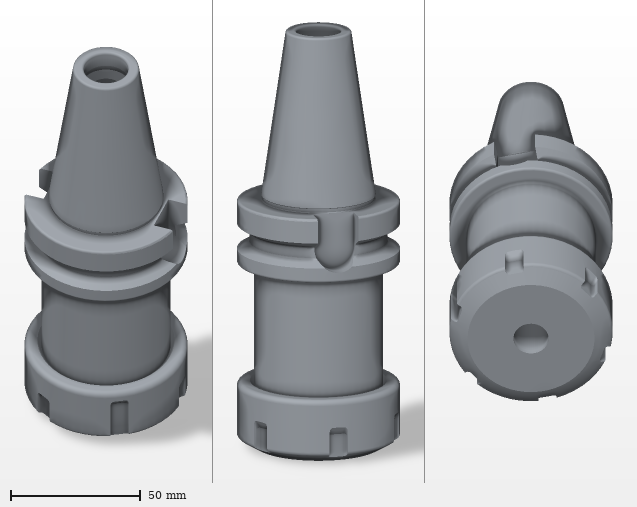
import cadquery as cq

total_length = 165.4

gauge_height = 100.0
gauge_radius = 22.2
taper_ratio = 7 / 24
tip_radius = gauge_radius - taper_ratio * (total_length - gauge_height) / 2
tip_fillet = 1.0

relief_depth = 0.3
neck_radius = gauge_radius - relief_depth

flange_radius = 31.51
flange_top = 98.0
flange_bottom = 72.8
flange_edge = 1.0
groove_radius = 26.6
groove_top = 88.5
groove_floor_top = 85.7
groove_floor_bottom = 81.0
groove_bottom = 78.5
groove_fillet = 0.7
root_fillet = 1.0

body_radius = 25.0
body_bottom = 16.5

keyway_width = 16.2
keyway_floor = 22.7
keyway_bottom = 76.5

nut_radius = flange_radius
nut_top = 25.8
nut_fillet = 2.2
recess_radius = 26.5
nose_radius = 24.5
nose_rim_radius = 30.5
nose_height = 3.5
nose_round = 1.7

slot_count = 6
slot_width = 7.3
slot_floor = 28.8
slot_top = 14.9
tall_slot_top = 21.8
tall_slot_index = 5
slot_runout = 3.3
slot_corner = 1.2

bore_radius = 6.8
pilot_radius = 8.6
pilot_depth = 6.6
pilot_mouth_round = 1.0
flare_radius = 9.3
flare_length = 2.5


def make_holder():
    """Shank, flange and body turned as one piece, with rounded groove corners and tip."""
    flange_rim = flange_radius - flange_edge
    outline = (
        cq.Workplane("XZ")
        .moveTo(0, body_bottom)
        .lineTo(body_radius, body_bottom)
        .lineTo(body_radius, flange_bottom - root_fillet)
        .radiusArc((body_radius + root_fillet, flange_bottom), root_fillet)
        .lineTo(flange_rim, flange_bottom)
        .radiusArc((flange_radius, flange_bottom + flange_edge), -flange_edge)
        .lineTo(flange_radius, groove_bottom)
        .lineTo(groove_radius, groove_floor_bottom)
        .lineTo(groove_radius, groove_floor_top)
        .lineTo(flange_radius, groove_top)
        .lineTo(flange_radius, flange_top - flange_edge)
        .radiusArc((flange_rim, flange_top), -flange_edge)
        .lineTo(gauge_radius, flange_top)
        .lineTo(neck_radius, flange_top + relief_depth)
        .lineTo(neck_radius, gauge_height - relief_depth)
        .lineTo(gauge_radius, gauge_height)
        .lineTo(tip_radius, total_length)
        .lineTo(0, total_length)
        .close()
    )
    groove_floor_rims = cq.selectors.BoxSelector(
        (-groove_fillet, -groove_fillet, groove_floor_bottom - groove_fillet),
        (groove_fillet, groove_fillet, groove_floor_top + groove_fillet),
    )
    turned = outline.revolve(360, (0, 0, 0), (0, 1, 0))
    turned = turned.edges(groove_floor_rims).fillet(groove_fillet)
    return turned.faces(">Z").edges().fillet(tip_fillet)


def make_nut():
    """Nut ring with a rounded top rim, a coned nose and a countersunk mouth."""
    mouth_depth = recess_radius - body_radius
    outline = (
        cq.Workplane("XZ")
        .moveTo(0, 0)
        .lineTo(nose_radius, 0)
        .lineTo(nose_rim_radius, nose_height)
        .radiusArc((nut_radius, nose_height + nose_round), -nose_round)
        .lineTo(nut_radius, nut_top - nut_fillet)
        .radiusArc((nut_radius - nut_fillet, nut_top), -nut_fillet)
        .lineTo(recess_radius, nut_top)
        .lineTo(body_radius, nut_top - mouth_depth)
        .lineTo(0, nut_top - mouth_depth)
        .close()
    )
    return outline.revolve(360, (0, 0, 0), (0, 1, 0))


def make_keyway():
    """Round-ended keyway cutter on the +X side, open at the top."""
    end_radius = keyway_width / 2
    end_height = keyway_bottom + end_radius
    return (
        cq.Workplane("YZ", origin=(keyway_floor, 0, 0))
        .moveTo(-end_radius, gauge_height)
        .lineTo(-end_radius, end_height)
        .threePointArc((0, keyway_bottom), (end_radius, end_height))
        .lineTo(end_radius, gauge_height)
        .close()
        .extrude(flange_radius)
    )


def make_slot(top):
    """Spanner slot cutter on the +X side, open at the nose and sloped at its upper end."""
    rim = nut_radius
    return (
        cq.Workplane("XZ")
        .moveTo(slot_floor, 0)
        .lineTo(slot_floor, top - slot_runout)
        .lineTo(rim, top)
        .lineTo(rim + slot_runout, top)
        .lineTo(rim + slot_runout, 0)
        .close()
        .extrude(slot_width / 2, both=True)
        .edges("(<X and |Z) or (not(|X or |Y or |Z))")
        .fillet(slot_corner)
    )


def make_bore():
    """Through bore, coned up into a flare below the round-mouthed pilot."""
    pilot_bottom = total_length - pilot_depth
    flare_bottom = pilot_bottom - flare_length
    cone_height = flare_radius - bore_radius
    outline = (
        cq.Workplane("XZ")
        .moveTo(0, 0)
        .lineTo(bore_radius, 0)
        .lineTo(bore_radius, flare_bottom - cone_height)
        .lineTo(flare_radius, flare_bottom)
        .lineTo(pilot_radius, pilot_bottom)
        .lineTo(pilot_radius, total_length - pilot_mouth_round)
        .radiusArc((pilot_radius + pilot_mouth_round, total_length), pilot_mouth_round)
        .lineTo(0, total_length)
        .close()
    )
    return outline.revolve(360, (0, 0, 0), (0, 1, 0))


result = make_holder().union(make_nut())

for angle in (0, 180):
    result = result.cut(make_keyway().rotate((0, 0, 0), (0, 0, 1), angle))

for index in range(slot_count):
    top = tall_slot_top if index == tall_slot_index else slot_top
    slot = make_slot(top).rotate((0, 0, 0), (0, 0, 1), index * 360 / slot_count)
    result = result.cut(slot)

result = result.cut(make_bore())